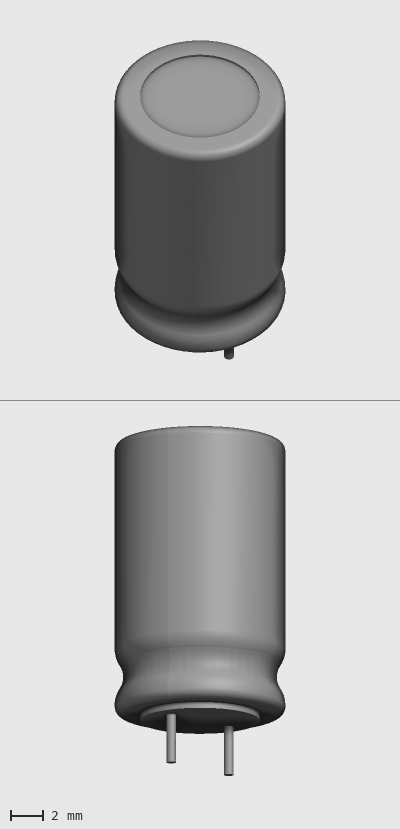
import cadquery as cq
import math


total_height = 20.5
body_diameter = 10.5
body_radius = body_diameter / 2

pin_length = 3.01
pin_diameter = 0.6
pin_spacing = 5.0

base_thickness = 0.37
core_diameter = 0.7 * body_diameter
core_radius = core_diameter / 2
top_recess_depth = 0.16

sleeve_bottom = base_thickness
sleeve_top = total_height - pin_length
edge_radius = body_diameter / 20
stripe_angle = 45.0

groove_depth = body_diameter / 20
groove_half_height = 1.75
groove_middle = sleeve_bottom + 2.38
flank_angle = math.radians(31)
flank_sin = math.sin(flank_angle)
flank_cos = math.cos(flank_angle)
groove_radius = (groove_half_height * flank_sin - groove_depth * flank_cos) / (2 * (1 - flank_cos))


def arc_point(center, radius, angle):
    """Point on a circle in the (r, z) plane, angle in radians from the +r direction."""
    r, z = center
    return (r + radius * math.cos(angle), z + radius * math.sin(angle))


def sleeve_profile():
    """Half section of the sleeve in the XZ plane, from the bore to the outer skin."""
    quarter = math.pi / 2
    edge_center_r = body_radius - edge_radius
    bottom_edge = (edge_center_r, sleeve_bottom + edge_radius)
    top_edge = (edge_center_r, sleeve_top - edge_radius)

    shoulder_r = body_radius - groove_radius
    lower_shoulder = (shoulder_r, groove_middle - groove_half_height)
    upper_shoulder = (shoulder_r, groove_middle + groove_half_height)
    neck = (body_radius - groove_depth + groove_radius, groove_middle)

    return (
        cq.Workplane("XZ")
        .moveTo(core_radius, sleeve_bottom)
        .lineTo(edge_center_r, sleeve_bottom)
        .threePointArc(arc_point(bottom_edge, edge_radius, -quarter / 2), arc_point(bottom_edge, edge_radius, 0))
        .lineTo(*arc_point(lower_shoulder, groove_radius, 0))
        .threePointArc(
            arc_point(lower_shoulder, groove_radius, flank_angle / 2),
            arc_point(lower_shoulder, groove_radius, flank_angle),
        )
        .lineTo(*arc_point(neck, groove_radius, math.pi + flank_angle))
        .threePointArc(
            arc_point(neck, groove_radius, math.pi),
            arc_point(neck, groove_radius, math.pi - flank_angle),
        )
        .lineTo(*arc_point(upper_shoulder, groove_radius, -flank_angle))
        .threePointArc(
            arc_point(upper_shoulder, groove_radius, -flank_angle / 2),
            arc_point(upper_shoulder, groove_radius, 0),
        )
        .lineTo(*arc_point(top_edge, edge_radius, 0))
        .threePointArc(arc_point(top_edge, edge_radius, quarter / 2), arc_point(top_edge, edge_radius, quarter))
        .lineTo(core_radius, sleeve_top)
        .close()
    )


def sleeve_sector(sweep_angle, middle_angle):
    """Sector of the sleeve, sweep_angle wide and centred on middle_angle about Z (degrees)."""
    sector = sleeve_profile().revolve(sweep_angle, (0, 0, 0), (0, 1, 0))
    return sector.rotate((0, 0, 0), (0, 0, 1), middle_angle - sweep_angle / 2)


def make_disc(diameter, bottom, top):
    """Solid cylinder on the Z axis between two heights."""
    return cq.Workplane("XY").workplane(offset=bottom).circle(diameter / 2).extrude(top - bottom)


def make_pin(x):
    """Straight lead hanging from the underside of the base."""
    return make_disc(pin_diameter, -pin_length, 0).translate((x, 0, 0))


stripe = sleeve_sector(stripe_angle, 180)
sleeve = sleeve_sector(360 - stripe_angle, 0)

core = make_disc(core_diameter, sleeve_bottom, sleeve_top - top_recess_depth)
base = make_disc(core_diameter, 0, base_thickness)

pins = []
for side in (-1, 1):
    pins.append(make_pin(side * pin_spacing / 2))

result = cq.Compound.makeCompound(
    [sleeve.val(), stripe.val(), core.val(), base.val(), *[pin.val() for pin in pins]]
)